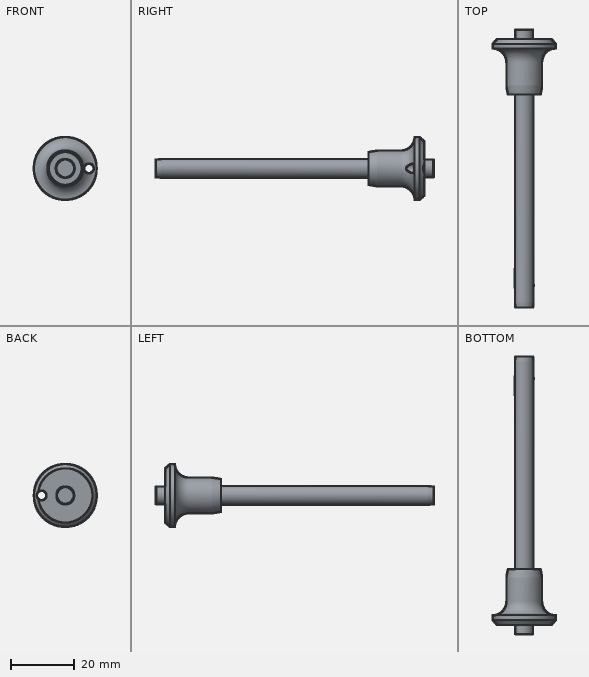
import cadquery as cq


overall_length = 88.1
head_length = 20.7
tip_y = head_length - overall_length
button_protrusion = 3.0
knob_top_y = head_length - button_protrusion

shank_radius = 3.0
tip_radius = 2.83
tip_taper_length = 1.7

collar_face_radius = 5.2
collar_lip_radius = 5.45
collar_lip_length = 1.2
collar_taper_length = 1.6

neck_radius = 5.7
knob_radius = 10.0
flare_radius = knob_radius - neck_radius
rim_height = 1.5
top_chamfer_height = 1.6
top_chamfer_width = 1.4
rim_top_y = knob_top_y - top_chamfer_height
rim_bottom_y = rim_top_y - rim_height
flare_end_y = rim_bottom_y - flare_radius

button_radius = 2.85
button_chamfer = 0.2

lanyard_hole_diameter = 3.0
lanyard_hole_offset = 7.5

ball_radius = 0.9
ball_protrusion = 0.035
ball_y = tip_y + 7.0


def make_body():
    """Shank, collar, knob and button, revolved from one half profile."""
    taper_end_y = collar_lip_length + collar_taper_length
    flare_center = (knob_radius, flare_end_y)
    diagonal = flare_radius * 0.5 ** 0.5
    flare_middle = (flare_center[0] - diagonal, flare_center[1] + diagonal)
    profile = (
        cq.Workplane("XY")
        .moveTo(0, tip_y)
        .lineTo(tip_radius, tip_y)
        .lineTo(shank_radius, tip_y + tip_taper_length)
        .lineTo(shank_radius, 0)
        .lineTo(collar_face_radius, 0)
        .lineTo(collar_lip_radius, collar_lip_length)
        .lineTo(neck_radius, taper_end_y)
        .lineTo(neck_radius, flare_end_y)
        .threePointArc(flare_middle, (knob_radius, rim_bottom_y))
        .lineTo(knob_radius, rim_top_y)
        .lineTo(knob_radius - top_chamfer_width, knob_top_y)
        .lineTo(button_radius, knob_top_y)
        .lineTo(button_radius, head_length - button_chamfer)
        .lineTo(button_radius - button_chamfer, head_length)
        .lineTo(0, head_length)
        .close()
    )
    return profile.revolve(360, (0, 0, 0), (0, 1, 0))


def add_locking_balls(body):
    """Add one ball on each side of the shank, along X."""
    ball_offset = shank_radius + ball_protrusion - ball_radius
    for side in (-1, 1):
        ball = cq.Workplane("XY").sphere(ball_radius).translate((side * ball_offset, ball_y, 0))
        body = body.union(ball)
    return body


def cut_lanyard_hole(body):
    """Drill the lanyard hole parallel to the axis, through the full height of the knob."""
    hole = (
        cq.Workplane("XZ", origin=(lanyard_hole_offset, knob_top_y, 0))
        .circle(lanyard_hole_diameter / 2)
        .extrude(knob_top_y)
    )
    return body.cut(hole)


result = cut_lanyard_hole(add_locking_balls(make_body()))